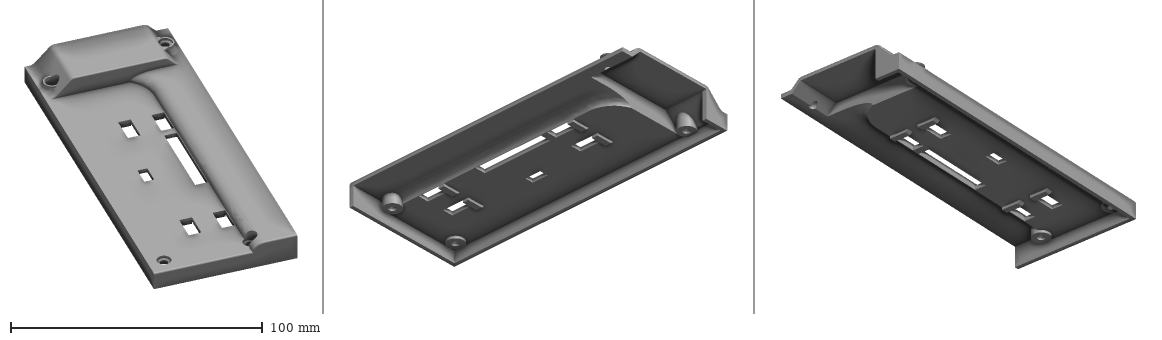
import cadquery as cq
import math

length = 148.6
width = 60.6
height = 15.9
wall = 2.0

margin = 0.1

plate_z = 7.7
rear_z = 11.5
ridge_foot_y = 41.6
ridge_run = 5.0
ridge_rise = rear_z - plate_z

flare_center_x = 36.4
flare_foot_radius = 14.9
flare_sections = 5
flare_center_y = ridge_foot_y - flare_foot_radius

cover_length = 24.4
cover_front_crest_y = 11.1
cover_rear_crest_y = 51.3
cover_bend_radius = 3.0
cover_front_foot_radius = 5.2
cover_edge_radius = 0.6
inner_crest_shift = 0.7
step_wall_x = cover_length - wall
end_wall_width = 12.2
right_edge_radius = 0.7

rear_slot_y = 36.0
front_slot_y = 21.8
slot_width = 5.4
left_slot = (48.0, 59.3)
middle_slot = (62.7, 98.2)
right_slot = (118.3, 129.2)
small_slot = (81.1, 89.2)
small_slot_y = 17.8
small_slot_width = 4.2

pad_depth = 1.2
pad_length = 3.0
pad_rear_margin = 0.1
pad_front_margin = 3.5
underside_z = plate_z - wall - pad_depth

hole_diameter = 3.4
counterbore_diameter = 6.0
counterbore_depth = 1.2
under_boss_radius = 4.2
boss_radius = 3.5
boss_flare = 2.5
rear_boss = (13.1, 54.7)
rear_boss_top = 14.9
web_half_width = 4.8
web_reach = 2.5
front_boss = (17.1, 5.2)
front_boss_top = 11.0
rear_plate_hole = (141.8, 43.1)
front_plate_hole = (141.5, 6.8)


def box(x_range, y_range, z_range):
    """Axis-aligned box between the given limits."""
    (x0, x1), (y0, y1), (z0, z1) = x_range, y_range, z_range
    return cq.Workplane("XY").box(x1 - x0, y1 - y0, z1 - z0, centered=False).translate((x0, y0, z0))


def extrude_along_x(profile, x0, x1):
    """Extrude a closed YZ profile between two X positions."""
    return profile.extrude(x1 - x0).translate((x0, 0, 0))


def cylinder(center, radius, z0, z1):
    """Upright cylinder between two heights."""
    return cq.Workplane("XY", origin=(*center, z0)).circle(radius).extrude(z1 - z0)


def stepped_deck(x0, x1, y0, drop, end_radius=0):
    """Solid under the two decks, ridge and flare.

    Its top is lowered by drop, and its upper right end edge is rounded with end_radius.
    """
    low_z = plate_z - drop
    high_z = rear_z - drop
    ridge_top_y = ridge_foot_y + ridge_run
    front_deck = box((x0, x1), (y0, ridge_top_y), (0, low_z))
    ridge_profile = (
        cq.Workplane("YZ")
        .moveTo(ridge_foot_y, 0)
        .lineTo(ridge_foot_y, low_z)
        .ellipseArc(ridge_run, ridge_rise, 90, 180, sense=-1)
        .lineTo(width, high_z)
        .lineTo(width, 0)
        .close()
    )
    rear_deck = extrude_along_x(ridge_profile, x0, x1)
    if end_radius > 0:
        front_deck = front_deck.edges(">X and >Z").fillet(end_radius)
        ridge_ends = cq.selectors.BoxSelector(
            (x1 - margin, ridge_foot_y + margin, low_z), (x1 + margin, width - margin, high_z + margin)
        )
        rear_deck = rear_deck.edges(ridge_ends).fillet(end_radius)

    flare = cq.Workplane("YZ", origin=(step_wall_x, 0, 0))
    section_step = (flare_center_x - step_wall_x) / flare_sections
    for index in range(flare_sections + 1):
        reach = flare_center_x - step_wall_x - index * section_step
        foot_y = flare_center_y + math.sqrt(flare_foot_radius**2 - reach**2)
        flare = (
            flare.moveTo(ridge_top_y, low_z)
            .lineTo(foot_y, low_z)
            .ellipseArc(ridge_top_y - foot_y, ridge_rise, 90, 180, sense=-1)
            .close()
        )
        if index < flare_sections:
            flare = flare.workplane(offset=section_step)
    return front_deck.union(rear_deck).union(flare.loft())


def cover_body():
    """Outer hood: front slope, flat top, rear slope and rear flange."""
    front_foot_y = cover_front_crest_y - (height - plate_z)
    rear_foot_y = cover_rear_crest_y + (height - rear_z)
    profile = cq.Workplane("YZ").polyline([
        (0, 0),
        (0, plate_z),
        (front_foot_y, plate_z),
        (cover_front_crest_y, height),
        (cover_rear_crest_y, height),
        (rear_foot_y, rear_z),
        (width, rear_z),
        (width, 0),
    ]).close()
    body = extrude_along_x(profile, 0, cover_length)
    inner_y = width - margin
    upper_bends = cq.selectors.BoxSelector(
        (-margin, margin, plate_z + margin), (length, inner_y, height + margin)
    )
    front_foot = cq.selectors.BoxSelector(
        (-margin, margin, plate_z - margin), (length, inner_y, plate_z + margin)
    )
    body = body.edges("|X").edges(upper_bends).fillet(cover_bend_radius)
    body = body.edges("|X").edges(front_foot).fillet(cover_front_foot_radius)
    rims = cq.selectors.BoxSelector(
        (-margin, margin, plate_z - margin), (length, inner_y, height + margin)
    )
    return body.edges("not |X").edges(rims).fillet(cover_edge_radius)


def cover_cavity():
    """Space under the hood, open at the left end behind the end wall, the rear and below."""
    roof_z = height - wall
    flange_z = rear_z - wall
    front_crest_y = cover_front_crest_y + inner_crest_shift
    rear_crest_y = cover_rear_crest_y - inner_crest_shift
    rear_foot_y = rear_crest_y + (roof_z - flange_z)
    front_z = plate_z - wall
    front_foot_y = front_crest_y - (roof_z - front_z)
    profile = cq.Workplane("YZ").polyline([
        (wall, 0),
        (wall, front_z),
        (front_foot_y, front_z),
        (front_crest_y, roof_z),
        (rear_crest_y, roof_z),
        (rear_foot_y, flange_z),
        (width, flange_z),
        (width, 0),
    ]).close()
    end_wall = box((0, wall), (0, end_wall_width), (0, height))
    return extrude_along_x(profile, 0, step_wall_x).cut(end_wall)


def flared_boss(center, base_z, top_z):
    """Round boss whose foot widens in a concave fillet."""
    foot_radius = boss_radius + boss_flare
    return (
        cq.Workplane("XZ")
        .moveTo(0, base_z)
        .lineTo(foot_radius, base_z)
        .radiusArc((boss_radius, base_z + boss_flare), boss_flare)
        .lineTo(boss_radius, top_z)
        .lineTo(0, top_z)
        .close()
        .revolve(360, (0, 0, 0), (0, 1, 0))
        .translate((*center, 0))
    )


def rear_boss_web():
    """Flat-topped web that widens from the rear boss into the rear slope."""
    x, y = rear_boss
    return (
        cq.Workplane("XY", origin=(0, 0, rear_z))
        .polyline([
            (x - boss_radius, y),
            (x - web_half_width, y - web_reach),
            (x + web_half_width, y - web_reach),
            (x + boss_radius, y),
        ])
        .close()
        .extrude(rear_boss_top - rear_z)
    )


def slot_pad(slot_x, slot_y):
    """Pad under the deck that ends at the left side of a slot with its corner at slot_x, slot_y."""
    front_y = slot_y - pad_front_margin
    rear_y = slot_y + slot_width + pad_rear_margin
    profile = cq.Workplane("YZ").polyline([
        (front_y, plate_z - wall),
        (front_y + pad_depth, underside_z),
        (rear_y, underside_z),
        (rear_y, plate_z - wall),
    ]).close()
    return extrude_along_x(profile, slot_x - pad_length, slot_x)


def screw_hole(center, seat_z):
    """Through hole with a counterbore open upwards from its seat."""
    through = cylinder(center, hole_diameter / 2, 0, height)
    return through.union(cylinder(center, counterbore_diameter / 2, seat_z, height))


outer = stepped_deck(0, length, 0, 0, right_edge_radius).union(cover_body())

plate_cavity = stepped_deck(step_wall_x, length - wall, wall, wall)
result = outer.cut(plate_cavity).cut(cover_cavity())

envelope = box((0, length), (0, width), (0, height)).cut(cover_cavity())
cover_bosses = (
    flared_boss(rear_boss, rear_z, rear_boss_top)
    .union(rear_boss_web())
    .union(flared_boss(front_boss, plate_z, front_boss_top))
)
result = result.union(cover_bosses.intersect(envelope))

plate_seat = plate_z - counterbore_depth
for center in (front_boss, rear_plate_hole, front_plate_hole):
    result = result.union(cylinder(center, under_boss_radius, underside_z, height).intersect(outer))

for slot_y in (rear_slot_y, front_slot_y):
    for slot_start, _ in (left_slot, right_slot):
        result = result.union(slot_pad(slot_start, slot_y))

for x_range, slot_y, slot_size in (
    (left_slot, rear_slot_y, slot_width),
    (middle_slot, rear_slot_y, slot_width),
    (right_slot, rear_slot_y, slot_width),
    (left_slot, front_slot_y, slot_width),
    (right_slot, front_slot_y, slot_width),
    (small_slot, small_slot_y, small_slot_width),
):
    result = result.cut(box(x_range, (slot_y, slot_y + slot_size), (0, plate_z)))

for center, seat_z in (
    (rear_boss, rear_boss_top - counterbore_depth),
    (front_boss, plate_seat),
    (rear_plate_hole, plate_seat),
    (front_plate_hole, plate_seat),
):
    result = result.cut(screw_hole(center, seat_z))